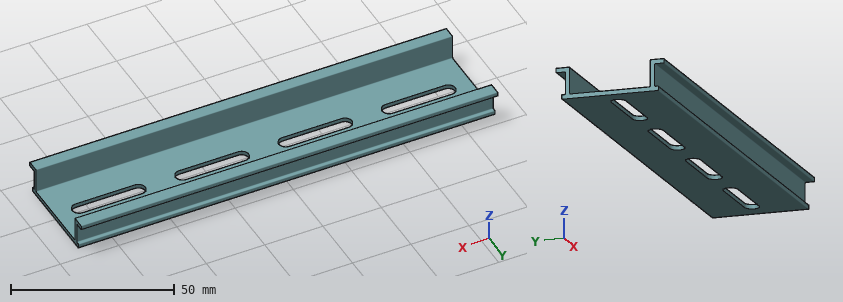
import cadquery as cq

length = 143.0
flange_span = 35.0
base_width = 31.3
height = 10.0
thickness = 1.5
channel_width = 26.0
wall_span = channel_width + 2 * thickness
flange_bottom = height - thickness

corner_radius = 0.3

slot_count = 4
slot_pitch = 35.5
slot_length = 25.0
slot_width = 4.7


def bar(width, bottom, top):
    """Full-length bar centred across the rail, between two heights."""
    return (
        cq.Workplane("XY")
        .workplane(offset=bottom)
        .rect(length, width)
        .extrude(top - bottom)
    )


def edges_at(body, half_width, bottom, top):
    """Lengthwise edges at +/- half_width whose heights lie between bottom and top."""
    margin = 0.01
    return body.edges("|X").filter(
        lambda edge: abs(abs(edge.Center().y) - half_width) < margin
        and bottom - margin < edge.Center().z < top + margin
    )


def make_rail():
    """Solid rail with the open channel removed and its profile corners rounded."""
    body = bar(base_width, 0, thickness)
    body = body.union(bar(wall_span, 0, height))
    body = body.union(bar(flange_span, flange_bottom, height))
    body = body.cut(bar(channel_width, thickness, height))

    corner_groups = [
        (channel_width / 2, thickness, height),
        (wall_span / 2, thickness, flange_bottom),
        (base_width / 2, 0, thickness),
        (flange_span / 2, flange_bottom, height),
    ]
    for half_width, bottom, top in corner_groups:
        body = edges_at(body, half_width, bottom, top).fillet(corner_radius)
    return body


def make_slots():
    """Round-ended slot cutters passing through the base."""
    return (
        cq.Workplane("XY")
        .rarray(slot_pitch, 1.5, slot_count, 1)
        .slot2D(slot_length, slot_width)
        .extrude(height)
    )


result = make_rail().cut(make_slots())